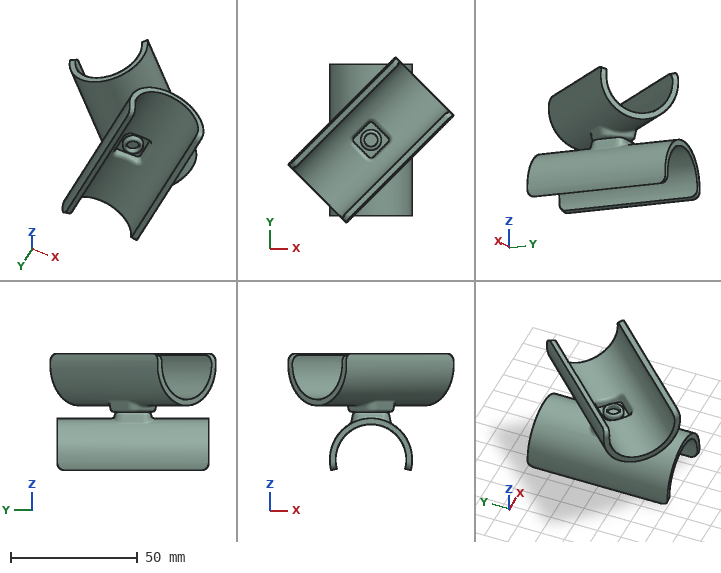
import cadquery as cq
import math


clip_length = 59.9
outer_radius = 16.3
wall = 2.4
half_height = 23.0
boss_height = 2.5
lip_corner_radius = 3.0
inner_radius = outer_radius - wall
tube_axis_z = -boss_height - outer_radius
lip_drop = half_height - boss_height - outer_radius
lip_angle = math.asin(lip_drop / outer_radius)

draft = 12
flat_side = 8.1
boss_corner_radius = 2.95
boss_edge_radius = 1.5
boss_root_radius = 1.25
pocket_corner_radius = 1.3
pocket_mouth_radius = 1.5
floor_thickness = 2.35
block_bottom_z = tube_axis_z + inner_radius / 2

shank_radius = 3.3
ring_radius = 4.05
ring_height = 2.15
ring_bore_radius = 2.6
ring_outer_edge_radius = 1.05
ring_inner_edge_radius = ring_radius - ring_bore_radius - ring_outer_edge_radius

upper_clip_turn = 45


def tapered_block(top_z, corner_radius):
    """Rounded square that starts at top_z and widens downwards by the draft."""
    side = flat_side + 2 * corner_radius
    outline = cq.Sketch().rect(side, side).vertices().fillet(corner_radius)
    depth = top_z - block_bottom_z
    return cq.Workplane("XY", origin=(0, 0, top_z)).placeSketch(outline).extrude(-depth, taper=-draft)


def tube_plane():
    """Workplane across the tube, with its origin on the tube axis."""
    return cq.Workplane("XZ", origin=(0, 0, tube_axis_z))


def full_cylinder(radius):
    return tube_plane().circle(radius).extrude(clip_length / 2, both=True)


def lip_point(radius, side):
    return (side * radius * math.cos(lip_angle), -radius * math.sin(lip_angle))


def open_tube():
    """C-shaped tube, open at the bottom, with its four lip corners rounded."""
    tube = (
        tube_plane()
        .moveTo(*lip_point(outer_radius, -1))
        .threePointArc((0, outer_radius), lip_point(outer_radius, 1))
        .lineTo(*lip_point(inner_radius, 1))
        .threePointArc((0, inner_radius), lip_point(inner_radius, -1))
        .close()
        .extrude(clip_length / 2, both=True)
    )
    corners = [edge for edge in tube.edges("not |Y").vals() if edge.geomType() == "LINE"]
    return tube.newObject(corners).fillet(lip_corner_radius)


def edges_on_tube(body, radius):
    """Edges of the boss or pocket whose ends and middle lie on the tube surface of this radius."""
    tolerance = 0.005

    def on_surface(point):
        return abs(math.hypot(point.x, point.z - tube_axis_z) - radius) < tolerance

    def is_near(point):
        return abs(point.y) < outer_radius and point.z > tube_axis_z

    found = []
    for edge in body.edges().vals():
        points = [edge.positionAt(fraction) for fraction in (0, 0.5, 1)]
        if all(on_surface(point) and is_near(point) for point in points):
            found.append(edge)
    return body.newObject(found)


def add_boss(tube):
    boss = tapered_block(0, boss_corner_radius).cut(full_cylinder(outer_radius - wall / 2))
    body = tube.union(boss)
    body = edges_on_tube(body, outer_radius).fillet(boss_root_radius)
    return body.faces(">Z").edges().fillet(boss_edge_radius)


def cut_pocket(body):
    body = body.cut(tapered_block(-floor_thickness, pocket_corner_radius))
    return edges_on_tube(body, inner_radius).fillet(pocket_mouth_radius)


def drill_rivet_hole(body):
    hole = cq.Workplane("XY").circle(shank_radius).extrude(-floor_thickness)
    return body.cut(hole)


def build_clip():
    return drill_rivet_hole(cut_pocket(add_boss(open_tube())))


def build_rivet():
    """Shank between the two pocket floors, with a hollow ring head on each floor."""
    crest_z = floor_thickness + ring_height
    crest_radius = ring_radius - ring_outer_edge_radius
    half = (
        cq.Workplane("XZ")
        .lineTo(shank_radius, 0)
        .lineTo(shank_radius, floor_thickness)
        .lineTo(ring_radius, floor_thickness)
        .lineTo(ring_radius, crest_z - ring_outer_edge_radius)
        .radiusArc((crest_radius, crest_z), -ring_outer_edge_radius)
        .radiusArc((ring_bore_radius, crest_z - ring_inner_edge_radius), -ring_inner_edge_radius)
        .lineTo(ring_bore_radius, floor_thickness)
        .lineTo(0, floor_thickness)
        .close()
        .revolve(360, (0, 0, 0), (0, 1, 0))
    )
    return half.union(half.mirror("XY"))


lower_clip = build_clip()
upper_clip = (
    build_clip()
    .rotate((0, 0, 0), (0, 1, 0), 180)
    .rotate((0, 0, 0), (0, 0, 1), -upper_clip_turn)
)
rivet = build_rivet()

result = cq.Compound.makeCompound([lower_clip.val(), upper_clip.val(), rivet.val()])